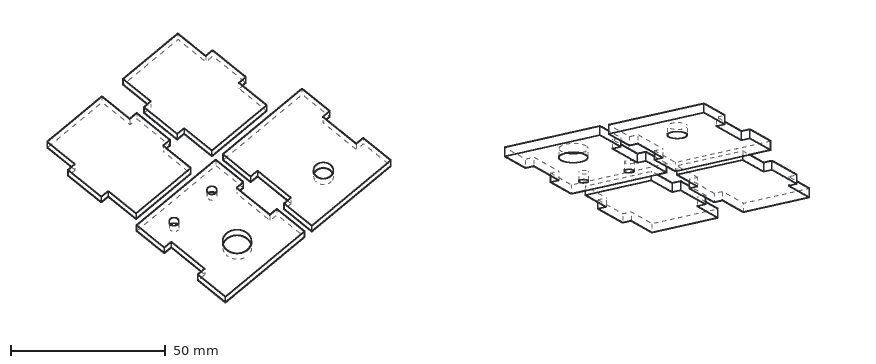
import cadquery as cq

total_x = 84.2
total_y = 76.2
thickness = 3.2
drop = 0.25

plate_x = 40.4
joint_x = 15.15
joint_depth = thickness
tabbed_body_y = 25.25
notched_y = 36.45
gap_y = total_y - 2 * notched_y

hole_x = 7.5
cover_hole_diameter = 6.4
base_hole_diameter = 9.35
screw_diameter = 3.2
screw_x = -12.55
screw_spacing = 17.4

tabbed_y = tabbed_body_y + 2 * joint_depth
left_center_x = plate_x / 2
right_center_x = total_x - plate_x / 2
base_center_y = notched_y / 2
cover_center_y = total_y - notched_y / 2


def plate_block(size_x, size_y):
    """Rectangular block centred in X and Y, standing on Z = 0."""
    return cq.Workplane("XY").box(size_x, size_y, thickness, centered=(True, True, False))


def make_tabbed_plate():
    """Plate with a tab in the middle of each long side."""
    return plate_block(plate_x, tabbed_body_y).union(plate_block(joint_x, tabbed_y))


def make_notched_plate(hole_diameter):
    """Plate with a notch in the middle of each long side and one main hole."""
    plate = plate_block(plate_x, notched_y)
    for side in (-1, 1):
        notch_y = side * (notched_y - joint_depth) / 2
        plate = plate.cut(plate_block(joint_x, joint_depth).translate((0, notch_y, 0)))
    return plate.faces(">Z").workplane(origin=(0, 0, 0)).center(hole_x, 0).hole(hole_diameter)


def make_base_plate():
    """Notched plate with a large main hole and two screw holes."""
    screw_points = [(screw_x, side * screw_spacing / 2) for side in (-1, 1)]
    plate = make_notched_plate(base_hole_diameter)
    return plate.faces(">Z").workplane(origin=(0, 0, 0)).pushPoints(screw_points).hole(screw_diameter)


tabbed_plates = []
for row in range(2):
    tabbed_center_y = tabbed_y / 2 + row * (tabbed_y + gap_y)
    tabbed_plates.append(make_tabbed_plate().translate((left_center_x, tabbed_center_y, 0)))

base_plate = make_base_plate().translate((right_center_x, base_center_y, 0))
cover_plate = make_notched_plate(cover_hole_diameter).translate((right_center_x, cover_center_y, -drop))

result = cq.Compound.makeCompound(
    [*(plate.val() for plate in tabbed_plates), base_plate.val(), cover_plate.val()]
)